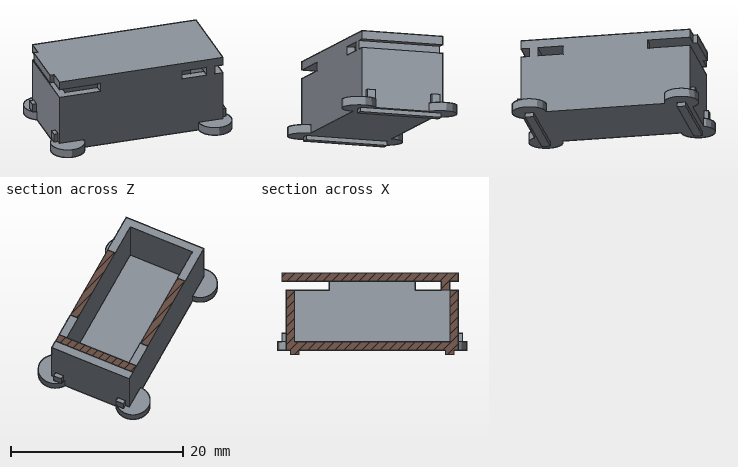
import cadquery as cq

TOTAL_LENGTH = 22.0
MODULE = TOTAL_LENGTH / 22

CASE_WIDTH = 10 * MODULE
CASE_LENGTH = 20 * MODULE
CASE_HEIGHT = 7 * MODULE
WALL = MODULE
FLOOR = MODULE

FOOT_RADIUS = 2 * MODULE
FOOT_THICKNESS = FLOOR
FOOT_X = CASE_WIDTH / 2
FOOT_Y = TOTAL_LENGTH / 2 - FOOT_RADIUS

LUG_WIDTH = MODULE
LUG_HEIGHT = MODULE
LUG_REACH = MODULE / 2
LUG_X = CASE_WIDTH / 2 - LUG_WIDTH

BAR_WIDTH = MODULE
BAR_DEPTH = MODULE / 2

LID_THICKNESS = MODULE
SPACER_HEIGHT = MODULE
SIDE_SPACER_LENGTH = CASE_LENGTH / 2
REAR_SPACER_DEPTH = MODULE
REAR_SPACER_SETBACK = MODULE
TAB_WIDTH = 6 * MODULE
TAB_REACH = MODULE / 2


def block(width, length, height, x, y, bottom):
    """Box centred at x, y and standing on the given bottom height."""
    return cq.Workplane("XY").box(width, length, height, centered=(True, True, False)).translate((x, y, bottom))


def make_case():
    """Open-topped case with four round feet, end lugs and underside bars."""
    case = block(CASE_WIDTH, CASE_LENGTH, CASE_HEIGHT, 0, 0, 0)
    cavity = block(CASE_WIDTH - 2 * WALL, CASE_LENGTH - 2 * WALL, CASE_HEIGHT - FLOOR, 0, 0, FLOOR)
    case = case.cut(cavity)
    for end in (-1, 1):
        case = case.union(block(CASE_WIDTH, BAR_WIDTH, BAR_DEPTH, 0, end * FOOT_Y, -BAR_DEPTH))
        lug_y = end * (CASE_LENGTH + LUG_REACH) / 2
        for side in (-1, 1):
            foot = cq.Workplane("XY").circle(FOOT_RADIUS).extrude(FOOT_THICKNESS)
            case = case.union(foot.translate((side * FOOT_X, end * FOOT_Y, 0)))
            case = case.union(block(LUG_WIDTH, LUG_REACH, LUG_HEIGHT, side * LUG_X, lug_y, FOOT_THICKNESS))
    return case


def make_lid():
    """Lid plate with a front tab, carried by side and rear spacers on the case rim."""
    plate_bottom = CASE_HEIGHT + SPACER_HEIGHT
    lid = block(CASE_WIDTH, CASE_LENGTH, LID_THICKNESS, 0, 0, plate_bottom)
    tab_y = -(CASE_LENGTH + TAB_REACH) / 2
    lid = lid.union(block(TAB_WIDTH, TAB_REACH, LID_THICKNESS, 0, tab_y, plate_bottom))
    spacer_x = (CASE_WIDTH - WALL) / 2
    for side in (-1, 1):
        lid = lid.union(block(WALL, SIDE_SPACER_LENGTH, SPACER_HEIGHT, side * spacer_x, 0, CASE_HEIGHT))
    rear_y = CASE_LENGTH / 2 - REAR_SPACER_SETBACK - REAR_SPACER_DEPTH / 2
    return lid.union(block(CASE_WIDTH, REAR_SPACER_DEPTH, SPACER_HEIGHT, 0, rear_y, CASE_HEIGHT))


housing = make_case().union(make_lid())
result = cq.Compound.makeCompound([housing.val()])